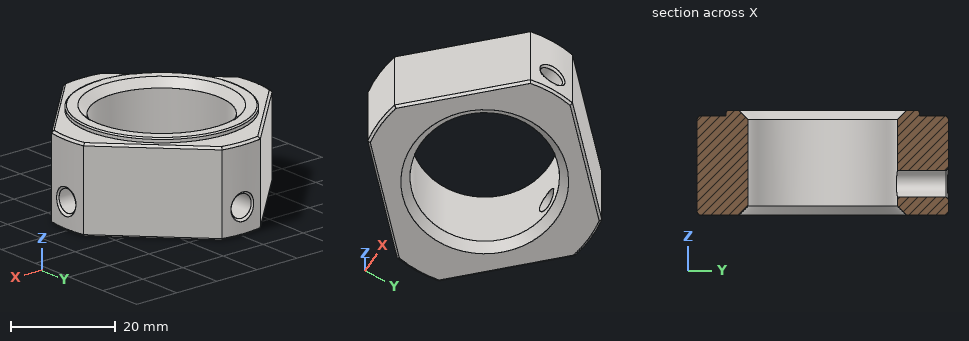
import cadquery as cq

across_flats = 40.0
corner_diameter = 48.0
body_height = 19.0
body_chamfer = 0.5

collar_diameter = 37.0
collar_height = 1.0
collar_chamfer = 0.3

bore_diameter = 28.5
mouth_diameter = 32.0

radial_hole_diameter = 5.0
radial_mouth_diameter = 6.0
radial_hole_height = 6.0
radial_hole_angles = (0.0, 90.0)

total_height = body_height + collar_height


def make_body():
    """Square prism with its flats at 45 degrees and its corners turned to a cylinder."""
    square = cq.Workplane("XY").rect(across_flats, across_flats).extrude(body_height)
    square = square.rotate((0, 0, 0), (0, 0, 1), 45)
    turned = cq.Workplane("XY").circle(corner_diameter / 2).extrude(body_height)
    return square.intersect(turned).faces("<Z or >Z").chamfer(body_chamfer)


def make_collar():
    """Low cylinder standing on the body, with a broken top edge."""
    collar = cq.Workplane("XY").workplane(offset=body_height)
    collar = collar.circle(collar_diameter / 2).extrude(collar_height)
    return collar.faces(">Z").edges().chamfer(collar_chamfer)


def make_bore():
    """Through bore as a turned profile, with the same 45 degree countersink at each end."""
    bore_radius = bore_diameter / 2
    mouth_radius = mouth_diameter / 2
    countersink_depth = mouth_radius - bore_radius
    profile = [
        (0, 0),
        (mouth_radius, 0),
        (bore_radius, countersink_depth),
        (bore_radius, total_height - countersink_depth),
        (mouth_radius, total_height),
        (0, total_height),
    ]
    return cq.Workplane("XZ").polyline(profile).close().revolve(360, (0, 0, 0), (0, 1, 0))


def make_radial_hole(angle):
    """Round hole from the axis out through one corner, with a 45 degree countersink outside."""
    hole_radius = radial_hole_diameter / 2
    mouth_radius = radial_mouth_diameter / 2
    corner_radius = corner_diameter / 2
    countersink_depth = mouth_radius - hole_radius
    profile = [
        (0, 0),
        (corner_radius, 0),
        (corner_radius, mouth_radius),
        (corner_radius - countersink_depth, hole_radius),
        (0, hole_radius),
    ]
    hole = cq.Workplane("XZ").polyline(profile).close().revolve(360, (0, 0, 0), (1, 0, 0))
    return hole.translate((0, 0, radial_hole_height)).rotate((0, 0, 0), (0, 0, 1), angle)


result = make_body().union(make_collar()).cut(make_bore())
for hole_angle in radial_hole_angles:
    result = result.cut(make_radial_hole(hole_angle))